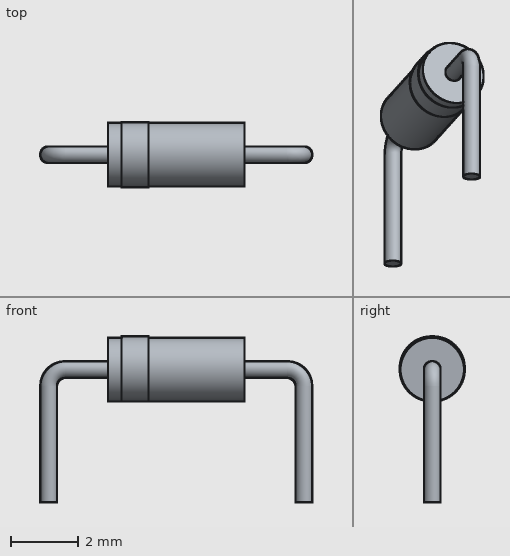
import cadquery as cq

overall_length = 8.12
overall_height = 4.95
lead_diameter = 0.5
bend_radius = 0.5
body_diameter = 1.91
body_length = 4.08
band_diameter = 1.95
band_length = 0.81
band_offset = 0.41

band_axis_height = overall_height - band_diameter / 2
axis_height = band_axis_height - (band_diameter - body_diameter) / 2
lead_x = (overall_length - lead_diameter) / 2
body_start = -body_length / 2


def cylinder_along_x(start, length, diameter, height):
    """Cylinder parallel to X at the given axis height, running in +X from start."""
    plane = cq.Workplane("YZ", origin=(start, 0, height))
    return plane.circle(diameter / 2).extrude(length)


def bent_lead(side):
    """Round lead from inside the body, bent down to its foot; side is -1 or +1."""
    bend_start = lead_x - bend_radius
    path = (
        cq.Workplane("XZ")
        .moveTo(side * lead_x, 0)
        .lineTo(side * lead_x, axis_height - bend_radius)
        .tangentArcPoint((side * bend_start, axis_height), relative=False)
        .lineTo(0, axis_height)
    )
    profile = cq.Workplane("XY", origin=(side * lead_x, 0, 0)).circle(lead_diameter / 2)
    return profile.sweep(path)


body = cylinder_along_x(body_start, body_length, body_diameter, axis_height)
cathode_band = cylinder_along_x(
    body_start + band_offset, band_length, band_diameter, band_axis_height
)

result = body.union(cathode_band)
for side in (-1, 1):
    result = result.union(bent_lead(side))